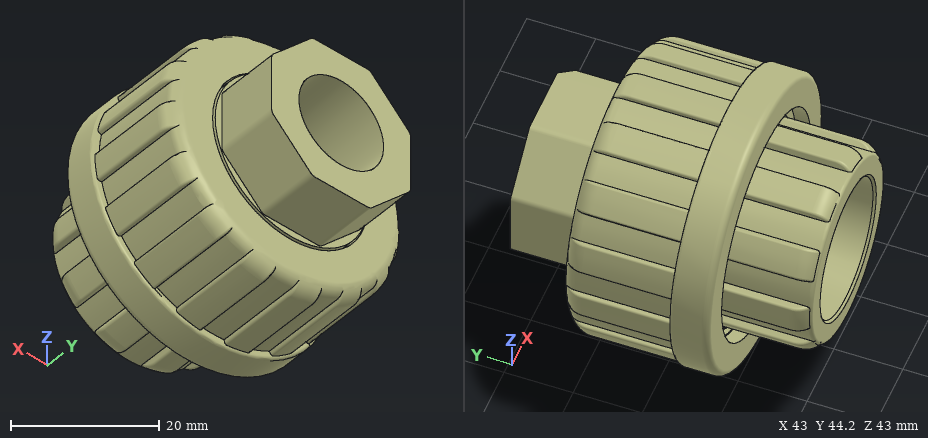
import cadquery as cq
import math


length = 44.15
through_radius = 15.1 / 2
collar_front_y = 11.88
recess_depth = 2.2
recess_floor_y = collar_front_y + recess_depth
joint_y = 22.95
shoulder_y = 30.0
nut_back_y = 33.6
thread_radius = 30.3 / 2

rib_width = 4.55
rib_edge_radius = 0.4
rib_end_round = 3.0

collar_radius = 43.0 / 2
collar_back_y = 17.65
collar_front_round = 1.038
collar_back_round = 0.55
nut_body_radius = 20.3
nut_body_round = 1.9
nut_rib_radius = 21.05
nut_rib_count = 15
nut_first_rib = 0
nut_rib_inner = 18.1
recess_radius = 33.25 / 2
nut_hole_radius = 27.7 / 2

groove_width = 1.4
groove_depth = 0.75
groove_tilt = 1.6

socket_radius = 27.2 / 2
socket_round = 0.55
socket_rib_radius = 14.75
socket_rib_round_y = 2.75
socket_rib_count = 10
socket_first_rib = 90
socket_rib_inner = 13.25
mouth_radius = 20.95 / 2
mouth_chamfer = 0.35
socket_depth = 16.0
socket_bottom_radius = 19.82 / 2

neck_radius = 27.2 / 2
neck_end_y = 33.85
octagon_across_flats = 24.8
octagon_edge_radius = 1.25


def cylinder(radius, start_y, end_y):
    """A cylinder around the Y axis."""
    outline = cq.Workplane("XZ", origin=(0, start_y, 0)).circle(radius)
    return outline.extrude(start_y - end_y)


def spin(outline):
    """Revolve an outline drawn in radius (X) and Y around the Y axis."""
    return outline.close().revolve(360, (0, 0, 0), (0, 1, 0))


def add_ribs(body, core, inner_radius, count, first_angle):
    """Add evenly spaced ribs: slices of a rounded core along +Z with rounded long edges."""
    slab = cq.Workplane("XY").box(rib_width, 2 * length, collar_radius, centered=(True, True, False))
    rib = core.intersect(slab.translate((0, 0, inner_radius)))
    outer_edges = rib.faces("<X or >X").edges("not(<Y or >Y or <Z)")
    rib = outer_edges.fillet(rib_edge_radius)
    for index in range(count):
        angle = first_angle + index * 360 / count
        body = body.union(rib.rotate((0, 0, 0), (0, 1, 0), angle))
    return body


def make_thread_groove():
    """A V-bottomed ring tilted so that it only bites into the recess floor towards -X."""
    inner_radius = (thread_radius + recess_radius - groove_width) / 2
    outer_radius = inner_radius + groove_width
    top_y = recess_floor_y - groove_depth
    outline = (
        cq.Workplane("XY")
        .moveTo(inner_radius, recess_floor_y)
        .lineTo(inner_radius, top_y)
        .lineTo(outer_radius, top_y)
        .lineTo(outer_radius, recess_floor_y)
        .lineTo(inner_radius + groove_width / 2, recess_floor_y + groove_depth)
    )
    pivot = (-inner_radius, recess_floor_y, 0)
    pivot_end = (-inner_radius, recess_floor_y, 1)
    return spin(outline).rotate(pivot, pivot_end, -groove_tilt)


def make_nut():
    collar = cylinder(collar_radius, collar_front_y, collar_back_y)
    collar = collar.faces("<Y").edges().fillet(collar_front_round)
    collar = collar.faces(">Y").edges().fillet(collar_back_round)
    rib_start_y = (collar_front_y + collar_back_y) / 2
    shell = cylinder(nut_body_radius, rib_start_y, nut_back_y)
    shell = shell.faces(">Y").edges().fillet(nut_body_round)
    rib_core = cylinder(nut_rib_radius, rib_start_y, nut_back_y)
    rib_core = rib_core.faces(">Y").edges().fillet(rib_end_round)
    nut = add_ribs(collar.union(shell), rib_core, nut_rib_inner, nut_rib_count, nut_first_rib)
    nut = nut.cut(cylinder(recess_radius, collar_front_y, recess_floor_y))
    nut = nut.cut(cylinder(thread_radius, recess_floor_y, shoulder_y))
    nut = nut.cut(cylinder(nut_hole_radius, shoulder_y, nut_back_y))
    return nut.cut(make_thread_groove())


def make_socket():
    barrel = cylinder(socket_radius, 0, recess_floor_y)
    barrel = barrel.faces("<Y").edges().fillet(socket_round)
    rib_core = cylinder(socket_rib_radius, socket_rib_round_y - rib_end_round, recess_floor_y)
    rib_core = rib_core.faces("<Y").edges().fillet(rib_end_round)
    socket = add_ribs(barrel, rib_core, socket_rib_inner, socket_rib_count, socket_first_rib)
    socket = socket.union(cylinder(thread_radius, recess_floor_y, joint_y))
    bore = spin(
        cq.Workplane("XY")
        .moveTo(0, 0)
        .lineTo(mouth_radius, 0)
        .lineTo(mouth_radius - mouth_chamfer, mouth_chamfer)
        .lineTo(socket_bottom_radius, socket_depth)
        .lineTo(0, socket_depth)
    )
    return socket.cut(bore).cut(cylinder(through_radius, socket_depth, joint_y))


def make_tail():
    flange = cylinder(thread_radius, joint_y, shoulder_y)
    neck = cylinder(neck_radius, shoulder_y, neck_end_y)
    across_corners = octagon_across_flats / math.cos(math.pi / 8)
    octagon = (
        cq.Workplane("XZ", origin=(0, neck_end_y, 0))
        .polygon(8, across_corners)
        .extrude(neck_end_y - length)
        .rotate((0, 0, 0), (0, 1, 0), 180 / 8)
        .edges("|Y")
        .fillet(octagon_edge_radius)
    )
    tail = flange.union(neck).union(octagon)
    return tail.cut(cylinder(through_radius, joint_y, length))


nut = make_nut()
socket = make_socket()
tail = make_tail()

result = cq.Compound.makeCompound([nut.val(), socket.val(), tail.val()])